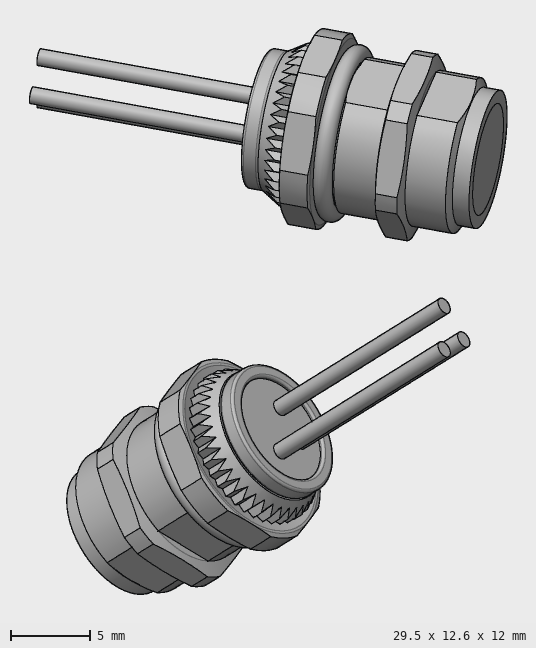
import cadquery as cq
import math

total_length = 29.5

sleeve_start = 14.5
sleeve_diameter = 9.0
sleeve_rounding = 0.18

collar_start = 15.65
collar_start_diameter = 9.1
collar_cone_length = 1.25
collar_diameter = 10.6
tooth_count = 40
tooth_depth = 0.45

flange_start = 17.45
flange_width = 2.0
flange_across_flats = 12.0
flange_corner_diameter = 12.6
flange_face_diameter = 12.0
flange_chamfer = 0.1
flange_recess_diameter = 11.65
flange_recess_depth = 0.27

ring_seat_diameter = 9.0
ring_cord_diameter = 1.2

barrel_start = 20.47
barrel_end = 28.4
barrel_diameter = 10.03
barrel_flat_distance = 9.0
barrel_chamfer_length = 0.3
nose_diameter = 8.9

nut_start = 23.5
nut_width = 1.95
nut_across_flats = 11.0
nut_corner_diameter = 12.0
nut_chamfer = 0.27

insert_diameter = 7.2
insert_recess = 0.3
lead_count = 3
lead_diameter = 1.1
lead_circle_radius = 1.75

collar_root_diameter = collar_diameter - 2 * tooth_depth
flange_end = flange_start + flange_width
insert_start = sleeve_start + insert_recess


def cylinder(start, end, diameter):
    """Solid cylinder along X from start to end."""
    return cq.Workplane("YZ", origin=(start, 0, 0)).circle(diameter / 2).extrude(end - start)


def turned(points):
    """Revolve an outline of (x, radius) points about the X axis."""
    return cq.Workplane("XY").polyline(points).close().revolve(360, (0, 0, 0), (1, 0, 0))


def cone(start, end, start_diameter, end_diameter):
    """Solid cone frustum along X."""
    return turned([(start, 0), (start, start_diameter / 2), (end, end_diameter / 2), (end, 0)])


def chamfered_hexagon(start, width, across_flats, corner_diameter, face_diameter, chamfer):
    """Hexagonal prism along X with turned corners, chamfered at both ends, flats facing +Z and -Z."""
    end = start + width
    blank = turned([
        (start, 0),
        (start, face_diameter / 2),
        (start + chamfer, corner_diameter / 2),
        (end - chamfer, corner_diameter / 2),
        (end, face_diameter / 2),
        (end, 0),
    ])
    across_corners = across_flats / math.cos(math.pi / 6)
    prism = cq.Workplane("YZ", origin=(start, 0, 0)).polygon(6, across_corners).extrude(width)
    return blank.intersect(prism)


def make_sleeve():
    """Tubular sleeve with both outer rims and the mouth of its bore rounded."""
    rounded = cylinder(sleeve_start, collar_start, sleeve_diameter).edges().fillet(sleeve_rounding)
    tube = rounded.cut(cylinder(sleeve_start, collar_start, insert_diameter))
    bore_mouth = cq.selectors.RadiusNthSelector(0)
    return tube.faces("<X").edges(bore_mouth).fillet(sleeve_rounding)


def make_knurled_collar():
    """Conical collar cut into pointed teeth by a star-shaped outline."""
    collar_end = flange_start + flange_recess_depth
    tip_radius = collar_diameter / 2
    root_radius = collar_root_diameter / 2
    half_pitch = math.pi / tooth_count
    star_points = []
    for step in range(2 * tooth_count):
        radius = tip_radius if step % 2 else root_radius
        angle = step * half_pitch
        star_points.append((radius * math.cos(angle), radius * math.sin(angle)))
    star = (
        cq.Workplane("YZ", origin=(collar_start, 0, 0))
        .polyline(star_points)
        .close()
        .extrude(collar_end - collar_start)
    )
    cone_end = collar_start + collar_cone_length
    blank = cone(collar_start, cone_end, collar_start_diameter, collar_diameter)
    return blank.union(cylinder(cone_end, collar_end, collar_diameter)).intersect(star)


def make_flange():
    """Hexagonal flange with a dished rear face around the collar."""
    flange = chamfered_hexagon(
        flange_start, flange_width, flange_across_flats,
        flange_corner_diameter, flange_face_diameter, flange_chamfer,
    )
    dish = cone(
        flange_start, flange_start + flange_recess_depth, flange_recess_diameter, collar_root_diameter
    )
    return flange.cut(dish)


def make_barrel():
    """Round barrel chamfered at both ends, with flats facing +Z and -Z."""
    barrel = turned([
        (barrel_start, 0),
        (barrel_start, nose_diameter / 2),
        (barrel_start + barrel_chamfer_length, barrel_diameter / 2),
        (barrel_end - barrel_chamfer_length, barrel_diameter / 2),
        (barrel_end, nose_diameter / 2),
        (barrel_end, 0),
    ])
    slab = cq.Workplane("YZ").rect(barrel_diameter, barrel_flat_distance).extrude(total_length)
    return barrel.intersect(slab)


def make_housing():
    """One-piece shell: sleeve, toothed collar, flange, ring seat, barrel and nose, bored through."""
    shell = (
        make_knurled_collar()
        .union(make_flange())
        .union(cylinder(flange_end, barrel_start, ring_seat_diameter))
        .union(make_barrel())
        .union(cylinder(barrel_start, total_length, nose_diameter))
    )
    bore = cylinder(collar_start, total_length, insert_diameter)
    return shell.cut(bore).union(make_sleeve())


def make_sealing_ring():
    """Round-section ring lying against the flange on its seat."""
    cord_radius = ring_cord_diameter / 2
    ring_radius = ring_seat_diameter / 2 + cord_radius
    return (
        cq.Workplane("XY", origin=(flange_end + cord_radius, ring_radius, 0))
        .circle(cord_radius)
        .revolve(360, (0, -ring_radius, 0), (1, -ring_radius, 0))
    )


def make_lock_nut():
    """Hexagonal nut whose bore matches the flatted barrel."""
    nut = chamfered_hexagon(
        nut_start, nut_width, nut_across_flats, nut_corner_diameter, barrel_diameter, nut_chamfer
    )
    return nut.cut(make_barrel())


def make_contact_insert():
    """Plug filling the housing bore, with three leads at quarter turns leaving its rear face."""
    insert = cylinder(insert_start, total_length, insert_diameter)
    for lead in range(lead_count):
        angle = (lead + 1) * math.pi / 2
        y = lead_circle_radius * math.cos(angle)
        z = lead_circle_radius * math.sin(angle)
        insert = insert.union(cylinder(0, insert_start, lead_diameter).translate((0, y, z)))
    return insert


housing = make_housing()
sealing_ring = make_sealing_ring()
lock_nut = make_lock_nut()
contact_insert = make_contact_insert()

result = cq.Compound.makeCompound([
    housing.val(),
    sealing_ring.val(),
    lock_nut.val(),
    contact_insert.val(),
])